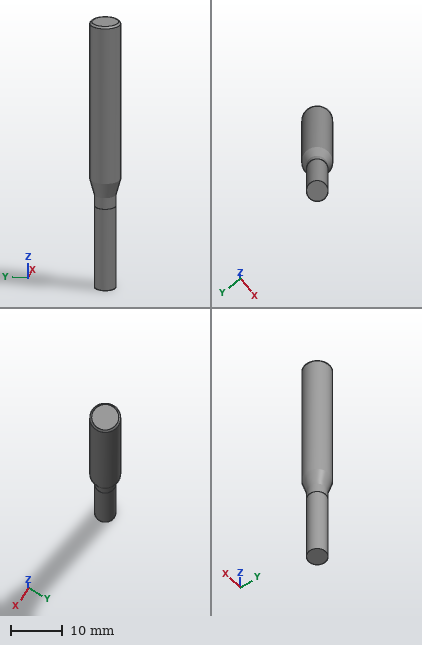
import cadquery as cq

total_length = 55.0
shank_diameter = 6.0
tip_diameter = 4.2

cutter_length = 16.9
taper_bottom = 19.15
taper_top = 22.45

chamfer_size = 0.4

shank_radius = shank_diameter / 2
tip_radius = tip_diameter / 2


def make_cutter():
    """Plain round cutting section at the lower end of the tool."""
    return cq.Workplane("XY").circle(tip_radius).extrude(cutter_length)


def make_shank():
    """Neck, taper and chamfered shank, revolved about the tool axis."""
    return (
        cq.Workplane("YZ")
        .moveTo(0, cutter_length)
        .lineTo(-tip_radius, cutter_length)
        .lineTo(-tip_radius, taper_bottom)
        .lineTo(-shank_radius, taper_top)
        .lineTo(-shank_radius, total_length - chamfer_size)
        .lineTo(-shank_radius + chamfer_size, total_length)
        .lineTo(0, total_length)
        .close()
        .revolve(360, (0, 0, 0), (0, 1, 0))
    )


cutter = make_cutter()
shank = make_shank()

result = cq.Compound.makeCompound([cutter.val(), shank.val()])